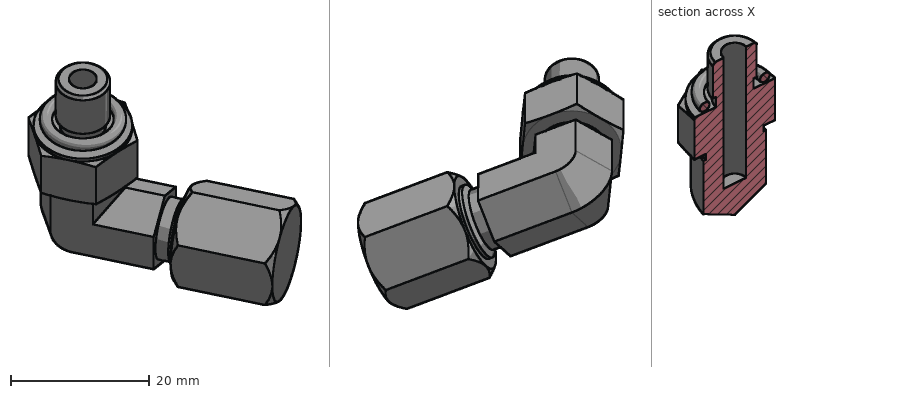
import cadquery as cq
import math

HEX_CORNER_RATIO = 2 / math.sqrt(3)

nut_flats = 14.3
nut_radius = nut_flats / 2
nut_corner_radius = nut_radius * HEX_CORNER_RATIO
nut_corner_excess = nut_corner_radius - nut_radius

overall_length = 39.07
overall_height = 34.42
side_end = overall_length - nut_corner_radius
stem_top = overall_height - nut_corner_radius

elbow_flats = 11.1
elbow_corner_radius = elbow_flats / 2 * HEX_CORNER_RATIO
elbow_top = 7.55
elbow_side_end = 12.4

collar_radius = 5.15
lock_nut_bottom = 8.6
lock_nut_shoulder = 16.5
lock_nut_top = 17.07
lock_nut_bevel = 0.27
neck_radius = 3.35
stem_radius = 3.95
stem_bottom = 19.0
stem_chamfer_radial = 0.43
stem_chamfer_height = 0.55
bore_radius = 2.0

side_neck_radius = 4.65
flange_start = 14.3
flange_radius = 5.63
flange_cone_length = 0.6
union_nut_start = 15.45

ring_section_radius = 0.9
ring_outer_radius = 6.25
ring_centre_z = 18.15


def upright_cylinder(radius, bottom, top):
    return cq.Workplane("XY", origin=(0, 0, bottom)).circle(radius).extrude(top - bottom)


def side_cylinder(radius, start, end):
    return cq.Workplane("YZ", origin=(start, 0, 0)).circle(radius).extrude(end - start)


def upright_hexagon(corner_radius, bottom, top):
    """Hexagonal bar along Z with flats facing +Y and -Y."""
    return cq.Workplane("XY", origin=(0, 0, bottom)).polygon(6, 2 * corner_radius).extrude(top - bottom)


def beveled_hexagon(bottom, top, bevel):
    """Nut along Z whose corners are cut by a cone at both ends."""
    envelope = (
        cq.Workplane("XZ")
        .moveTo(0, bottom)
        .lineTo(nut_radius, bottom)
        .lineTo(nut_corner_radius, bottom + bevel)
        .lineTo(nut_corner_radius, top - bevel)
        .lineTo(nut_radius, top)
        .lineTo(0, top)
        .close()
        .revolve(360, (0, 0, 0), (0, 1, 0))
    )
    return upright_hexagon(nut_corner_radius, bottom, top).intersect(envelope)


def turn_to_side(shape):
    """Swing a shape from the Z axis onto the X axis."""
    return shape.rotate((0, 0, 0), (0, 1, 0), 90)


def make_elbow_block():
    """Two hexagonal legs joined by a bend that turns the same section about Y."""
    upright_leg = upright_hexagon(elbow_corner_radius, 0, elbow_top)
    side_leg = turn_to_side(upright_hexagon(elbow_corner_radius, 0, elbow_side_end))
    half_flats = elbow_flats / 2
    bend = (
        cq.Workplane("XY")
        .moveTo(0, -half_flats)
        .lineTo(elbow_corner_radius / 2, -half_flats)
        .lineTo(elbow_corner_radius, 0)
        .lineTo(elbow_corner_radius / 2, half_flats)
        .lineTo(0, half_flats)
        .close()
        .revolve(360, (0, 0, 0), (0, 1, 0))
    )
    return upright_leg.union(side_leg).union(bend)


def make_upright_end():
    collar = upright_cylinder(collar_radius, elbow_top, lock_nut_bottom)
    lock_nut = beveled_hexagon(lock_nut_bottom, lock_nut_shoulder, lock_nut_bevel)
    washer_face = upright_cylinder(nut_radius, lock_nut_shoulder, lock_nut_top)
    neck = upright_cylinder(neck_radius, lock_nut_top, stem_bottom)
    stem = upright_cylinder(stem_radius, stem_bottom, stem_top)
    stem = stem.faces(">Z").chamfer(stem_chamfer_height, stem_chamfer_radial)
    return collar.union(lock_nut).union(washer_face).union(neck).union(stem)


def make_side_end():
    neck = side_cylinder(side_neck_radius, elbow_side_end, flange_start)
    flange = (
        cq.Workplane("XY")
        .moveTo(flange_start, 0)
        .lineTo(flange_start, side_neck_radius)
        .lineTo(flange_start + flange_cone_length, flange_radius)
        .lineTo(union_nut_start, flange_radius)
        .lineTo(union_nut_start, 0)
        .close()
        .revolve(360, (0, 0, 0), (1, 0, 0))
    )
    union_nut = turn_to_side(beveled_hexagon(union_nut_start, side_end, nut_corner_excess))
    return neck.union(flange).union(union_nut)


def make_fitting():
    bore = upright_cylinder(bore_radius, 0, stem_top)
    return make_elbow_block().union(make_upright_end()).union(make_side_end()).cut(bore)


def make_sealing_ring():
    """Round-section ring lying loose around the stem, just above the lock nut."""
    return (
        cq.Workplane("XZ")
        .center(ring_outer_radius - ring_section_radius, ring_centre_z)
        .circle(ring_section_radius)
        .revolve(360, (ring_section_radius - ring_outer_radius, 0, 0),
                 (ring_section_radius - ring_outer_radius, 1, 0))
    )


fitting = make_fitting()
sealing_ring = make_sealing_ring()

result = cq.Compound.makeCompound([fitting.val(), sealing_ring.val()])